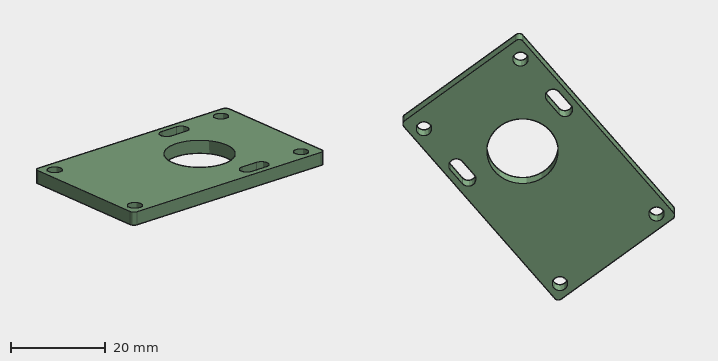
import cadquery as cq

width = 32.0
length = 53.0
thickness = 3.0
corner_radius = 1.0

hole_diameter = 3.2
column_spacing = 26.0
rear_hole_inset = 4.0
front_hole_inset = 3.0

slot_width = hole_diameter
slot_length = 7.2
slot_inset = 17.0

bore_diameter = 15.0
bore_inset = 21.0

rear_edge = length / 2
front_edge = -length / 2
columns = (-column_spacing / 2, column_spacing / 2)
hole_rows = (rear_edge - rear_hole_inset, front_edge + front_hole_inset)
hole_centers = [(x, y) for x in columns for y in hole_rows]
slot_centers = [(x, rear_edge - slot_inset) for x in columns]
bore_center = (0, rear_edge - bore_inset)


def make_plate():
    """Flat plate on the XY plane with rounded vertical corners."""
    plate = cq.Workplane("XY").box(width, length, thickness, centered=(True, True, False))
    return plate.edges("|Z").fillet(corner_radius)


def make_round_cutters(centers, diameter):
    """Through-thickness cylinders at the given centres."""
    return cq.Workplane("XY").pushPoints(centers).circle(diameter / 2).extrude(thickness)


def make_slot_cutters():
    """Through-thickness round-ended slots, long axis along Y."""
    slots = cq.Workplane("XY").pushPoints(slot_centers)
    return slots.slot2D(slot_length, slot_width, angle=90).extrude(thickness)


result = (
    make_plate()
    .cut(make_round_cutters(hole_centers, hole_diameter))
    .cut(make_slot_cutters())
    .cut(make_round_cutters([bore_center], bore_diameter))
)